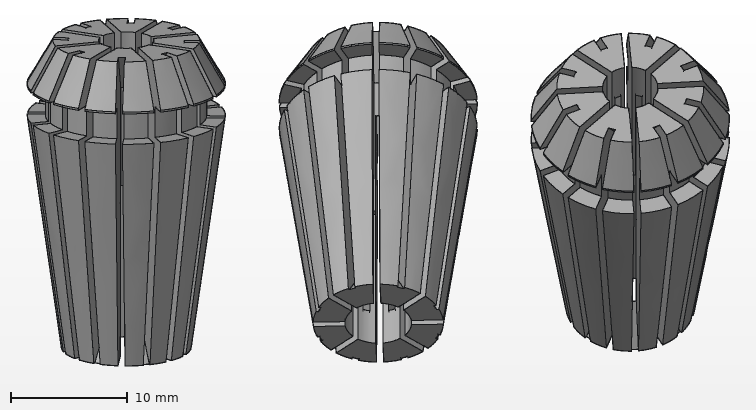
import cadquery as cq
import math

height = 27.5
max_radius = 8.5
shank_half_angle = 8.0
nose_half_angle = 30.0

groove_bottom = 20.8
groove_top = 23.5
groove_radius = 6.93
rim_height = 0.16

grip_radius = 2.36
relief_radius = 2.85
relief_depth = 13.75

slots_per_set = 8
slot_width = 0.6
slot_pitch = 360.0 / slots_per_set
web_height = 3.38
lower_web_radius = 5.4
upper_web_radius = 5.0
floor_slope = web_height / (lower_web_radius - relief_radius)

clearance = 1.38
cut_radius = max_radius + clearance


def turned_body():
    rim_top = groove_top + rim_height
    base_radius = max_radius - groove_bottom * math.tan(math.radians(shank_half_angle))
    nose_radius = max_radius - (height - rim_top) * math.tan(math.radians(nose_half_angle))
    profile = [
        (0, 0),
        (base_radius, 0),
        (max_radius, groove_bottom),
        (groove_radius, groove_bottom),
        (groove_radius, groove_top),
        (max_radius, groove_top),
        (max_radius, rim_top),
        (nose_radius, height),
        (0, height),
    ]
    return cq.Workplane("XZ").polyline(profile).close().revolve(360, (0, 0), (0, 1))


def stepped_bore():
    grip = cq.Workplane("XY").circle(grip_radius).extrude(height)
    relief = cq.Workplane("XY").circle(relief_radius).extrude(relief_depth)
    return grip.union(relief)


def slot_from_top(web_radius):
    """Slot along +X whose floor falls outward and leaves the base at web_radius."""
    outline = [
        (0, floor_slope * web_radius),
        (web_radius + clearance / floor_slope, -clearance),
        (cut_radius, -clearance),
        (cut_radius, height + clearance),
        (0, height + clearance),
    ]
    return cq.Workplane("XZ").polyline(outline).close().extrude(slot_width / 2, both=True)


def slot_from_base(web_radius):
    """The same slot turned upside down, leaving the top face at web_radius."""
    return slot_from_top(web_radius).mirror("XY", (0, 0, height / 2))


result = turned_body().cut(stepped_bore())
for index in range(slots_per_set):
    angle = index * slot_pitch
    upper_slot = slot_from_top(lower_web_radius).rotate((0, 0, 0), (0, 0, 1), angle)
    lower_slot = slot_from_base(upper_web_radius).rotate((0, 0, 0), (0, 0, 1), angle + slot_pitch / 2)
    result = result.cut(upper_slot).cut(lower_slot)